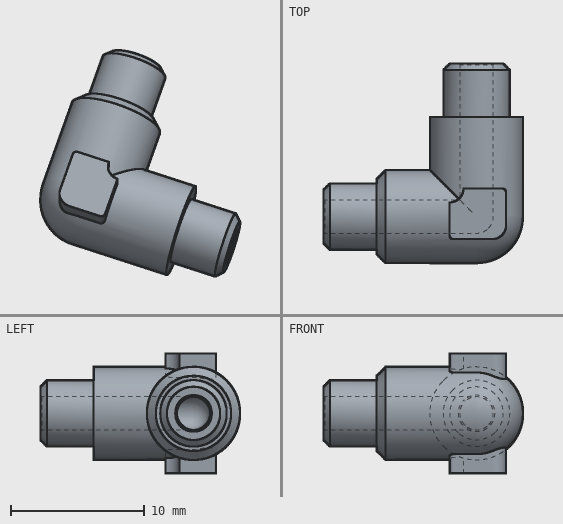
import cadquery as cq

body_diameter = 7.0
body_radius = body_diameter / 2
overall_length = 15.0
arm_length = overall_length - body_radius
spigot_diameter = 5.0
spigot_length = 4.0
spigot_chamfer = 0.5
body_length = arm_length - spigot_length
body_chamfer = 0.68
bore_diameter = 2.5
bore_radius = bore_diameter / 2
bore_chamfer = 0.12

pad_height = 9.0
pad_left = -2.02
pad_right = 2.22
pad_front = -1.7
pad_back = 2.12
pad_notch_radius = 1.05
pad_outer_radius = 1.05
pad_small_radius = 0.3

arm_planes = {
    "left": cq.Plane(origin=(0, 0, 0), xDir=(0, 1, 0), normal=(-1, 0, 0)),
    "back": cq.Plane(origin=(0, 0, 0), xDir=(1, 0, 0), normal=(0, 1, 0)),
}


def make_arm(plane, shoulder_chamfer=0.0):
    """Solid body and stepped spigot, with an optional chamfer on the shoulder."""
    end_edges = cq.selectors.DirectionMinMaxSelector(plane.zDir, True)
    body = cq.Workplane(plane).circle(body_radius).extrude(body_length)
    if shoulder_chamfer:
        body = body.edges(end_edges).chamfer(shoulder_chamfer)
    spigot = cq.Workplane(plane).circle(spigot_diameter / 2).extrude(arm_length)
    spigot = spigot.edges(end_edges).chamfer(spigot_chamfer)
    return body.union(spigot)


def make_bore(plane):
    """Round bore from the elbow centre, flared at the spigot end."""
    mouth_radius = bore_radius + bore_chamfer
    profile_plane = cq.Plane(origin=(0, 0, 0), xDir=plane.xDir, normal=plane.xDir.cross(plane.zDir))
    return (
        cq.Workplane(profile_plane)
        .lineTo(bore_radius, 0)
        .lineTo(bore_radius, arm_length - bore_chamfer)
        .lineTo(mouth_radius, arm_length)
        .lineTo(0, arm_length)
        .close()
        .revolve(360, (0, 0), (0, 1))
    )


def make_pad():
    """Vertical block with one scooped, one large-radius and two small-radius corners."""
    width = pad_right - pad_left
    depth = pad_back - pad_front
    center = ((pad_left + pad_right) / 2, (pad_front + pad_back) / 2, 0)
    block = cq.Workplane("XY").box(width, depth, pad_height).translate(center)
    block = block.edges("|Z and >X and <Y").fillet(pad_outer_radius)
    block = block.edges(cq.NearestToPointSelector((pad_left, pad_front, 0))).fillet(pad_small_radius)
    block = block.edges(cq.NearestToPointSelector((pad_right, pad_back, 0))).fillet(pad_small_radius)
    notch = cq.Workplane("XY").center(pad_left, pad_back).circle(pad_notch_radius)
    return block.cut(notch.extrude(pad_height / 2, both=True))


result = cq.Workplane("XY").sphere(body_radius)
result = result.union(make_arm(arm_planes["left"], body_chamfer))
result = result.union(make_arm(arm_planes["back"]))
result = result.union(make_pad())

result = result.cut(cq.Workplane("XY").sphere(bore_radius))
for arm_plane in arm_planes.values():
    result = result.cut(make_bore(arm_plane))